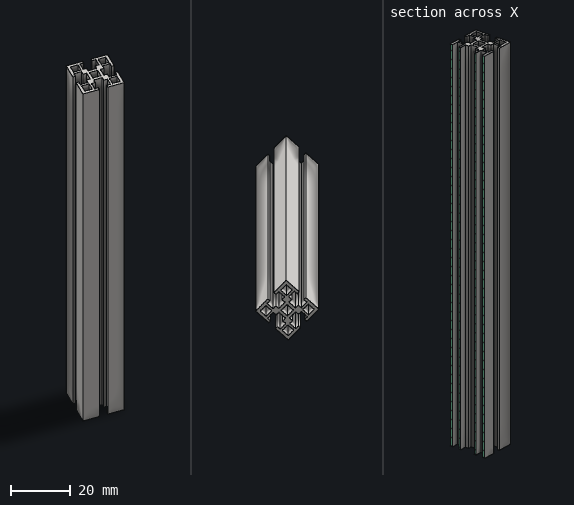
import cadquery as cq

length = 150.0
side = 15.0

slot_opening = 3.0
lip_thickness = 0.98
channel_width = 5.7
channel_depth = 2.7
core_width = 5.0

core_bore = 2.8
cell_size = 2.7
cell_skin = 1.12
cell_centre = side / 2 - cell_skin - cell_size / 2


def prism(x_size, y_size, x_centre=0.0, y_centre=0.0):
    """Full-length rectangular prism with its base centred on the given point."""
    return cq.Workplane("XY").center(x_centre, y_centre).rect(x_size, y_size).extrude(length)


def t_slot():
    """Void of the slot on the +Y side: narrow throat plus wide undercut channel."""
    throat_depth = (side - core_width) / 2
    throat = prism(slot_opening, throat_depth, 0, side / 2 - throat_depth / 2)
    channel_centre = side / 2 - lip_thickness - channel_depth / 2
    channel = prism(channel_width, channel_depth, 0, channel_centre)
    return throat.union(channel)


result = prism(side, side).cut(prism(core_bore, core_bore))

for quarter_turn in range(4):
    slot = t_slot().rotate((0, 0, 0), (0, 0, 1), 90 * quarter_turn)
    result = result.cut(slot)

for x_sign in (-1, 1):
    for y_sign in (-1, 1):
        cell = prism(cell_size, cell_size, x_sign * cell_centre, y_sign * cell_centre)
        result = result.cut(cell)